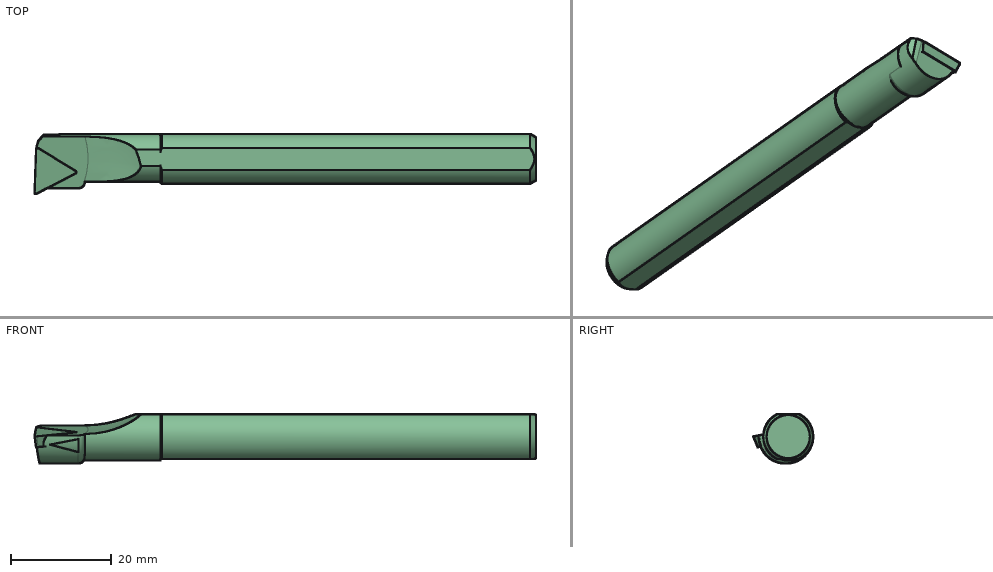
import cadquery as cq
import math

LENGTH = 100.0
SHANK_RADIUS = 5.0
FLAT_HEIGHT = 4.5
SHANK_START = 25.1
LEAD_CHAMFER = 0.3
END_CHAMFER_LENGTH = 1.2
END_CHAMFER_DEPTH = 0.7

NECK_RADIUS = 4.8
NECK_OFFSET = 0.2
HEAD_RADIUS = 5.4
HEAD_OFFSET = -0.5
HEAD_END = 10.1
HEAD_FILLET = 1.4
FRONT_GAP = 0.1
FRONT_EDGE_LENGTH = 9.9
CORNER_POINTS = [(0.8, 11.0), (2.1, 12.4)]

TIP_Y = -7.2
RAKE_ANGLE = 11.0
LEAD_ANGLE = 2.0
RELIEF_ANGLE = 7.0

INSERT_SIDE = 9.8
INSERT_THICKNESS = 2.3
NOSE_RADIUS = 0.3

SCOOP_CENTER_Y = 7.5
SCOOP_EDGE_X = 10.7
SCOOP_BASE_RADIUS = 16.0
SCOOP_ARC_RADIUS = 18.5
SCOOP_DEPTH = 10.0

RECESS_POINTS = [(3.1, -1.6), (8.8, -0.5), (8.8, -3.1)]
RECESS_DEPTH = 0.2

OVERSIZE = 30.0


def rake_plane():
    rake = math.radians(RAKE_ANGLE)
    return cq.Plane(origin=(0, TIP_Y, 0), xDir=(1, 0, 0), normal=(0, -math.sin(rake), math.cos(rake)))


def cylinder_along_x(radius, center_y, start, end):
    return cq.Workplane("YZ", origin=(start, center_y, 0)).circle(radius).extrude(end - start)


def make_insert():
    front = math.radians(90 - LEAD_ANGLE)
    back = front - math.radians(60)
    corners = [(0, 0)]
    for angle in (back, front):
        corners.append((INSERT_SIDE * math.cos(angle), INSERT_SIDE * math.sin(angle)))
    blank = cq.Workplane(rake_plane()).polyline(corners).close()
    blank = blank.extrude(-INSERT_THICKNESS, taper=RELIEF_ANGLE)
    rake_normal = rake_plane().zDir
    nose_edges = [edge for edge in blank.edges().vals() if abs(edge.tangentAt(0).dot(rake_normal)) > 0.5]
    return blank.newObject(nose_edges).fillet(NOSE_RADIUS)


def make_shank():
    profile = [
        (SHANK_START, 0),
        (SHANK_START, SHANK_RADIUS - LEAD_CHAMFER),
        (SHANK_START + LEAD_CHAMFER, SHANK_RADIUS),
        (LENGTH - END_CHAMFER_LENGTH, SHANK_RADIUS),
        (LENGTH, SHANK_RADIUS - END_CHAMFER_DEPTH),
        (LENGTH, 0),
    ]
    shank = cq.Workplane("XY").polyline(profile).close().revolve(360, (0, 0, 0), (1, 0, 0))
    flats = cq.Workplane("XY").box(2 * LENGTH, OVERSIZE, 2 * FLAT_HEIGHT)
    return shank.intersect(flats)


def make_neck():
    neck = cylinder_along_x(NECK_RADIUS, NECK_OFFSET, HEAD_END / 2, SHANK_START)
    top_trim = cq.Workplane("XY").box(2 * LENGTH, OVERSIZE, OVERSIZE)
    return neck.intersect(top_trim.translate((0, 0, FLAT_HEIGHT - OVERSIZE / 2)))


def make_head():
    head = cylinder_along_x(HEAD_RADIUS, HEAD_OFFSET, 0, HEAD_END)
    head = head.faces(">X").edges().fillet(HEAD_FILLET)
    lean = math.tan(math.radians(LEAD_ANGLE))
    outline = [
        (FRONT_GAP - OVERSIZE * lean, -OVERSIZE),
        (FRONT_GAP + FRONT_EDGE_LENGTH * lean, FRONT_EDGE_LENGTH),
        *CORNER_POINTS,
        (OVERSIZE, 1.5 * OVERSIZE),
        (OVERSIZE, -OVERSIZE),
    ]
    envelope = cq.Workplane(rake_plane()).polyline(outline).close()
    envelope = envelope.extrude(-OVERSIZE / 3, taper=RELIEF_ANGLE)
    recess = cq.Workplane("XZ").polyline(RECESS_POINTS).close().extrude(OVERSIZE)
    recess = recess.cut(cylinder_along_x(HEAD_RADIUS - RECESS_DEPTH, HEAD_OFFSET, 0, HEAD_END))
    return head.intersect(envelope).cut(recess)


def make_scoop():
    axis_x = SCOOP_EDGE_X - SCOOP_BASE_RADIUS
    half = math.acos(1 - SCOOP_DEPTH / SCOOP_ARC_RADIUS)

    def arc_point(angle):
        run = SCOOP_ARC_RADIUS * math.sin(angle)
        return SCOOP_BASE_RADIUS + run, SCOOP_ARC_RADIUS * (1 - math.cos(angle))

    rake = rake_plane()
    center = rake.toWorldCoords((axis_x, SCOOP_CENTER_Y, 0))
    section = cq.Plane(origin=center.toTuple(), xDir=(1, 0, 0), normal=(-rake.yDir).toTuple())
    profile = cq.Workplane(section).lineTo(SCOOP_BASE_RADIUS, 0)
    profile = profile.threePointArc(arc_point(half / 2), arc_point(half)).lineTo(0, SCOOP_DEPTH).close()
    return profile.revolve(360, (0, 0, 0), (0, 1, 0))


insert = make_insert()
holder = make_head().union(make_neck()).cut(make_scoop()).union(make_shank()).cut(insert)

result = cq.Compound.makeCompound([holder.val(), insert.val()])